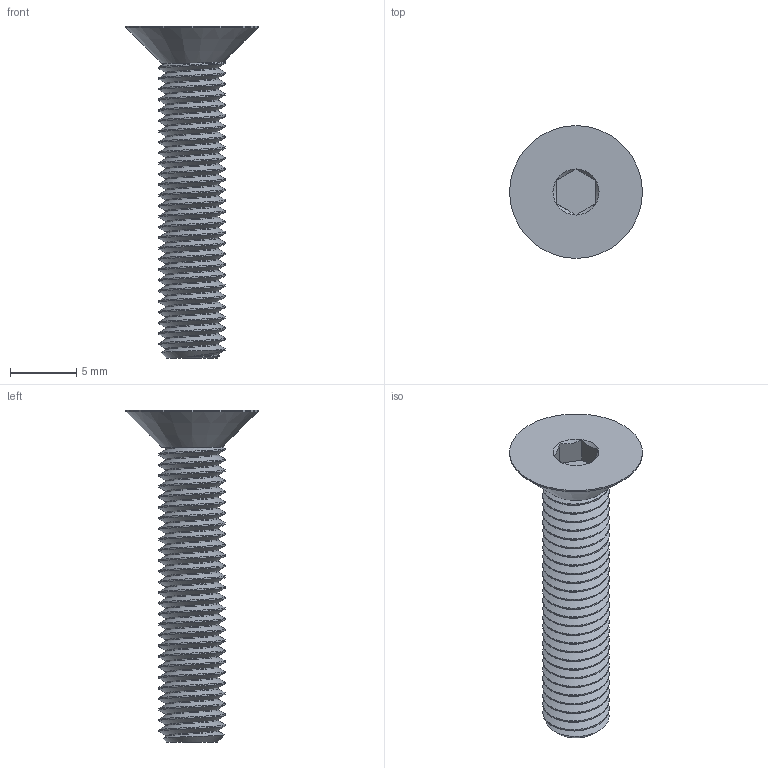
import cadquery as cq
import math

overall_length = 25.0
head_diameter = 10.0
head_height = 2.8
rim_height = 0.12
cone_half_angle = 45.0

thread_diameter = 5.0
pitch = 0.8
flank_angle = 60.0
crest_height = 0.65
tip_chamfer = 0.6
thread_overlap = 0.6
ridge_embedding = 0.03

socket_sides = 6
socket_flats = 3.0
socket_depth = 1.9
socket_corner_radius = socket_flats / 2 / math.cos(math.pi / socket_sides)

thread_radius = thread_diameter / 2
flank_slope = math.tan(math.radians(flank_angle / 2))
sharp_height = pitch / 2 / flank_slope
root_radius = thread_radius - 0.75 * sharp_height
crest_flat = pitch / 8

shank_length = overall_length - head_height
thread_top = shank_length + thread_overlap
tip_radius = thread_radius - tip_chamfer
head_radius = head_diameter / 2
cone_height = head_height - rim_height
neck_radius = head_radius - cone_height * math.tan(math.radians(cone_half_angle))

SCREW_AXIS = ((0, 0, 0), (0, 1, 0))


def make_body():
    """Screw without its thread: bevelled core, conical head and thin rim."""
    profile = (
        cq.Workplane("XZ")
        .lineTo(tip_radius, 0)
        .lineTo(root_radius, root_radius - tip_radius)
        .lineTo(root_radius, shank_length)
        .lineTo(neck_radius, shank_length)
        .lineTo(head_radius, overall_length - rim_height)
        .lineTo(head_radius, overall_length)
        .lineTo(0, overall_length)
        .close()
    )
    return profile.revolve(axisStart=SCREW_AXIS[0], axisEnd=SCREW_AXIS[1])


def make_ridge():
    """Helical thread ridge running past both ends of the shank, walled by surfaces between helices."""
    inner_radius = root_radius - ridge_embedding
    half_crest = crest_flat / 2
    half_base = half_crest + (thread_radius - inner_radius) * flank_slope
    start_height = crest_height - 2 * pitch
    turns = math.ceil((thread_top + pitch - start_height) / pitch)
    ridge_length = turns * pitch
    corners = [
        (inner_radius, start_height - half_base),
        (thread_radius, start_height - half_crest),
        (thread_radius, start_height + half_crest),
        (inner_radius, start_height + half_base),
    ]

    helices = []
    for radius, height in corners:
        helix = cq.Wire.makeHelix(pitch, ridge_length, radius)
        helices.append(helix.translate(cq.Vector(0, 0, height)))

    faces = []
    for index, helix in enumerate(helices):
        faces.append(cq.Face.makeRuledSurface(helix, helices[index - 1]))
    for end_height in (0, ridge_length):
        outline = [cq.Vector(radius, 0, height + end_height) for radius, height in corners]
        faces.append(cq.Face.makeFromWires(cq.Wire.makePolygon(outline, close=True)))
    return cq.Workplane(obj=cq.Solid.makeSolid(cq.Shell.makeShell(faces)))


def make_thread():
    """Thread ridge trimmed by the tip chamfer below and inside the head above."""
    clearance = 0.1
    outer_radius = thread_radius + clearance
    envelope = (
        cq.Workplane("XZ")
        .lineTo(tip_radius, 0)
        .lineTo(outer_radius, tip_chamfer + clearance)
        .lineTo(outer_radius, thread_top)
        .lineTo(0, thread_top)
        .close()
        .revolve(axisStart=SCREW_AXIS[0], axisEnd=SCREW_AXIS[1])
    )
    return make_ridge().intersect(envelope)


def make_socket():
    """Hexagonal socket, corners on the Y axis, with a 45 degree conical lead-in at the mouth."""
    quarter_turn = 90
    hexagon = (
        cq.Workplane("XY", origin=(0, 0, overall_length - socket_depth))
        .polygon(socket_sides, 2 * socket_corner_radius)
        .extrude(socket_depth)
        .rotate((0, 0, 0), (0, 0, 1), quarter_turn)
    )
    lead_in = (
        cq.Workplane("XZ")
        .moveTo(0, overall_length)
        .lineTo(socket_corner_radius, overall_length)
        .lineTo(0, overall_length - socket_corner_radius)
        .close()
        .revolve(axisStart=SCREW_AXIS[0], axisEnd=SCREW_AXIS[1])
    )
    return hexagon.union(lead_in)


result = make_body().cut(make_socket()).union(make_thread())